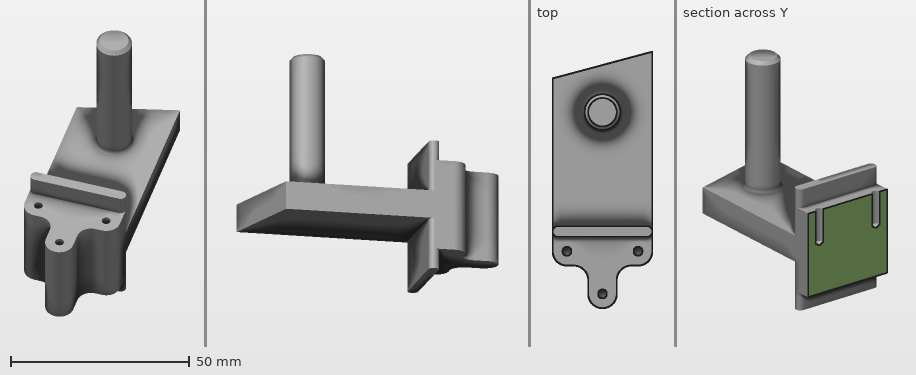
import cadquery as cq
import math

length = 72.0
width = 28.0
half_width = width / 2

arm_thickness = 8.0
slant_angle = 15.0
slant_run = width * math.tan(math.radians(slant_angle))

pin_diameter = 10.0
pin_height = 40.0
pin_y = 55.0
pin_edge = 1.0

plate_thickness = 3.0
plate_height = 37.0
plate_y = 21.5

block_height = 25.7
lobe_radius = 4.0
rear_lobe_y = 16.0
rear_lobe_x = half_width - lobe_radius
shoulder_y = rear_lobe_y - lobe_radius

hole_diameter = 2.5
hole_depth = 10.0
drill_point_angle = 118.0


def make_arm():
    outline = (
        cq.Workplane("XY", origin=(0, 0, -arm_thickness / 2))
        .moveTo(-half_width, plate_y)
        .lineTo(half_width, plate_y)
        .lineTo(half_width, length)
        .lineTo(-half_width, length - slant_run)
        .close()
    )
    return outline.extrude(arm_thickness)


def make_plate():
    base = cq.Workplane("XY", origin=(0, plate_y, -plate_height / 2))
    return base.slot2D(width, plate_thickness).extrude(plate_height)


def make_block():
    body_depth = plate_y - shoulder_y
    body = (
        cq.Workplane("XY", origin=(0, 0, -block_height / 2))
        .center(0, shoulder_y + body_depth / 2)
        .rect(width, body_depth)
        .extrude(block_height)
        .edges("|Z and <Y")
        .fillet(lobe_radius)
    )
    stem_length = plate_y - lobe_radius
    stem = (
        cq.Workplane("XY", origin=(0, 0, -block_height / 2))
        .center(0, lobe_radius + stem_length / 2)
        .rect(2 * lobe_radius, stem_length)
        .extrude(block_height)
    )
    tip = (
        cq.Workplane("XY", origin=(0, 0, -block_height / 2))
        .center(0, lobe_radius)
        .circle(lobe_radius)
        .extrude(block_height)
    )
    block = body.union(stem).union(tip)
    box_half_x = 1.5 * lobe_radius
    box_margin = 0.7
    inner_corners = cq.selectors.BoxSelector(
        (-box_half_x, shoulder_y - box_margin, -box_margin),
        (box_half_x, shoulder_y + box_margin, box_margin),
    )
    return block.edges("|Z").edges(inner_corners).fillet(lobe_radius)


def make_pin():
    radius = pin_diameter / 2
    root_z = arm_thickness / 2
    top_z = root_z + pin_height
    fillet_middle = pin_edge * (1 - math.sqrt(0.5))
    profile = (
        cq.Workplane("XZ", origin=(0, pin_y, 0))
        .lineTo(radius + pin_edge, 0)
        .lineTo(radius + pin_edge, root_z)
        .threePointArc(
            (radius + fillet_middle, root_z + fillet_middle),
            (radius, root_z + pin_edge),
        )
        .lineTo(radius, top_z - pin_edge)
        .lineTo(radius - pin_edge, top_z)
        .lineTo(0, top_z)
        .close()
    )
    return profile.revolve(360, (0, 0), (0, 1))


def make_drill(x, y):
    radius = hole_diameter / 2
    point_length = radius / math.tan(math.radians(drill_point_angle / 2))
    profile = (
        cq.Workplane("XZ", origin=(x, y, block_height / 2))
        .lineTo(radius, 0)
        .lineTo(radius, -hole_depth)
        .lineTo(0, -hole_depth - point_length)
        .close()
    )
    return profile.revolve(360, (0, 0), (0, 1))


result = make_arm().union(make_plate()).union(make_block()).union(make_pin())

hole_centers = [
    (0, lobe_radius),
    (-rear_lobe_x, rear_lobe_y),
    (rear_lobe_x, rear_lobe_y),
]
for hole_x, hole_y in hole_centers:
    result = result.cut(make_drill(hole_x, hole_y))